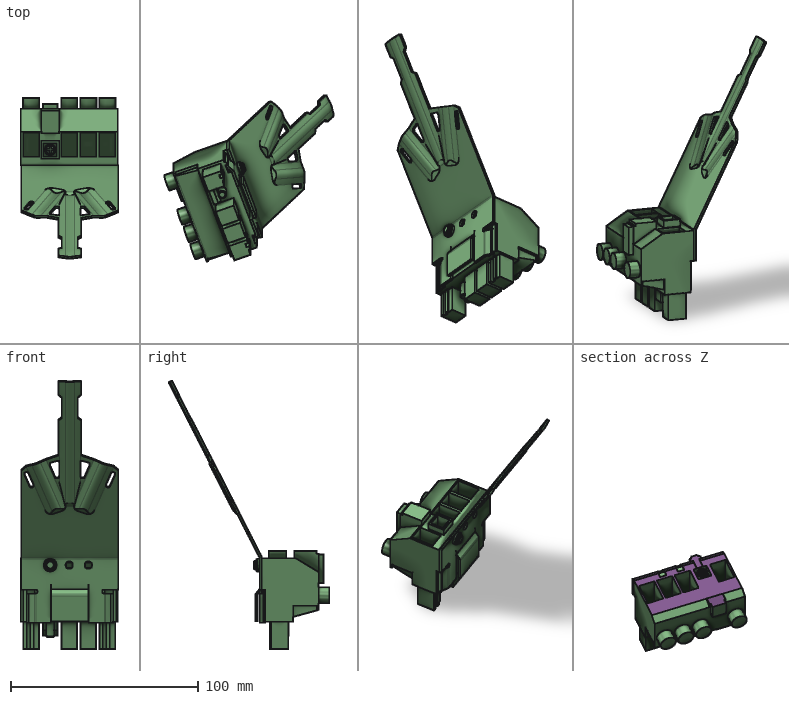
import cadquery as cq
import math


pole_pitch = 10.2
housing_center_x = -0.3
flange_x = housing_center_x - pole_pitch
contact_xs = [housing_center_x + step * pole_pitch for step in (-2, 0, 1, 2)]
open_hole_xs = contact_xs[1:3]

housing_width = 51.9
housing_bottom = 14.6
housing_top = 48.6
housing_rear = 30.3
foot_rear = 16.6
roof_edge_y = 17.9
roof_rear_z = 41.2
rear_lip_z = 21.1
wedge_rear = 29.3
wedge_top = 23.2
wedge_rear_z = 20.7
wedge_foot_z = 17.2
wedge_inset = 1.5

well_width = 8.6
well_front = 4.7
well_rear = 17.4
well_depth = 21.5

collar_size = 9.5
collar_top = 52.5
pocket_size = 7.2
pocket_floor = 40.2

plug_width = 8.5
plug_front = 4.0
plug_rear = 14.0
key_pitch = 1.9
key_groove_depth = 1.5
key_ledge_depth = 0.9

lug_width = 7.9
lug_bottom = 7.3
lug_rear = 14.3
lug_bevel_height = 2.9
lug_bevel_depth = 1.5

sheet = 1.3
plate_half_width = 26.0
plate_bottom = 14.0
hole_diameter = 4.0
hole_z = 44.9
nut_pocket_width = 3.5
nut_pocket_height = 2.7
nut_pocket_depth = 2.9
shoulder_z = 31.8
relief_height = 2.2
relief_end_x = 17.2

wing_start_x = 18.6
wing_flat_x = 22.0
wing_end_x = 23.1
wing_offset = 1.9
wing_bend_radius = 1.5
rest_foot_x = 24.8
rest_height = 1.3
rest_step = 0.6

tab_half_width = 10.0
tab_slit = 0.07
tab_root_z = 34.4
tab_bend_z = 32.1
tab_flat_z = 29.3
tab_bottom = 15.0
tab_offset = 2.3
tab_bend_radius = 1.7

panel_angle = 63.0
overall_height = 143.4
bend_z = 49.0
bend_radius = 1.5
panel_length = (overall_height - bend_z) / math.sin(math.radians(panel_angle))
panel_corner_v = 52.5
rim_outer_x = 23.2
rim_outer_v = 55.1
rim_inner_v = 61.5
neck_half_width = 6.2
waist_half_width = 4.3
waist_start_v = 82.5
waist_end_v = 98.0
waist_taper = 1.6
neck_corner = 0.5

middle_ridge_height = 0.7
middle_ridge_base = 5.6
middle_ridge_crest = 2.5
middle_ridge_narrowing = 14.3
middle_ridge_foot_v = 31.3
middle_ridge_end_run = 2.5
side_ridge_height = 1.1
side_ridge_base = 5.7
side_ridge_crest = 2.5
side_ridge_angle = 21.5
side_ridge_foot_x = 6.5
side_ridge_foot_v = 27.5
side_ridge_end_run = 2.9
side_ridge_length = 40.2
side_ridge_end_radius = 3.6

tie_slot_x = 21.8
tie_slot_v = 47.0
tie_slot_length = 9.8
tie_slot_width = 2.3
window_corners = [(-5.7, 48.0), (-7.7, 48.0), (-10.8, 55.8), (-10.3, 57.2), (-5.7, 58.7)]
window_rounding = 0.6

flange_screw_y = 8.3
flange_head_diameter = 5.9
flange_head_height = 3.6
flange_shank_diameter = 4.3
flange_shank_bottom = 6.5
shank_chamfer = 0.6
cross_length = 3.5
cross_width = 1.0
cross_depth = 1.5

plate_screw_flange_diameter = 6.9
plate_screw_flange_height = 1.7
plate_screw_flange_chamfer = 0.5
plate_screw_head_diameter = 4.9
plate_screw_head_height = 1.3
plate_screw_head_chamfer = 0.6
plate_screw_depth = 4.3

lever_width = 9.5
lever_front = 17.2
lever_top_rear = 29.1
lever_step = 1.5
lever_plate_width = 7.9
lever_plate_rear = 32.8
lever_plate_bottom = 35.3
lever_plate_top = 50.6

terminal_diameter = 8.7
terminal_z = 28.8
terminal_length = 5.7

slip = 1.5


def box(x, y, z):
    """Block between the (low, high) limits on each axis."""
    size = [high - low for low, high in (x, y, z)]
    return cq.Workplane("XY").box(*size, centered=False).translate((x[0], y[0], z[0]))


def around(center, width):
    """Limits of a width centred on a place."""
    return center - width / 2, center + width / 2


def side_prism(points, center_x, width):
    """Outline in (Y, Z) drawn out along X, centred on center_x."""
    start = cq.Workplane("YZ", origin=(center_x - width / 2, 0, 0))
    return start.polyline(points).close().extrude(width)


def plan_prism(points, bottom, top):
    """Outline in (X, Y) drawn up from bottom to top."""
    return cq.Workplane("XY", origin=(0, 0, bottom)).polyline(points).close().extrude(top - bottom)


def both_sides(body):
    """A body together with its mirror image across X = 0."""
    return body.union(body.mirror("YZ"))


def y_cylinder(x, z, diameter, front, rear):
    """Cylinder along Y from front to rear."""
    return cq.Workplane("XZ", origin=(x, rear, z)).circle(diameter / 2).extrude(rear - front)


def make_housing_shell():
    outline = [
        (0, housing_bottom),
        (0, housing_top),
        (roof_edge_y, housing_top),
        (housing_rear, roof_rear_z),
        (housing_rear, rear_lip_z),
        (wedge_rear, wedge_rear_z),
        (foot_rear, wedge_foot_z),
        (foot_rear, housing_bottom),
    ]
    shell = side_prism(outline, housing_center_x, housing_width)
    for side in (-1, 1):
        face_x = housing_center_x + side * housing_width / 2
        beside_wedge = box(
            around(face_x, 2 * wedge_inset), (foot_rear, wedge_rear), (wedge_foot_z - slip, wedge_top)
        )
        shell = shell.cut(beside_wedge)
    return shell


def make_wing_notch():
    """Corner recess for a plate wing, with a bevelled rest left beside the wing's end."""
    outline = [
        (-wing_start_x, -slip),
        (-wing_start_x, wing_offset),
        (-wing_end_x, wing_offset),
        (-wing_end_x, wing_offset - rest_height),
        (-rest_foot_x, wing_offset - rest_step),
        (-rest_foot_x, wing_offset),
        (-housing_width, wing_offset),
        (-housing_width, -slip),
    ]
    return both_sides(plan_prism(outline, housing_bottom - slip, shoulder_z))


def make_plug(x):
    return box(around(x, plug_width), (plug_front, plug_rear), (0, housing_bottom))


def cut_keys(housing, x):
    """Coding groove and ledge down the front of a plug block."""
    left = x - plug_width / 2
    heights = (-slip, housing_bottom)
    groove = box(
        (left + key_pitch, left + 2 * key_pitch), (plug_front - slip, plug_front + key_groove_depth), heights
    )
    ledge = box(
        (left + 3 * key_pitch, left + plug_width), (plug_front - slip, plug_front + key_ledge_depth), heights
    )
    return housing.cut(groove).cut(ledge)


def make_flange_lug():
    front = flange_screw_y + flange_shank_diameter / 2
    outline = [
        (front, housing_bottom),
        (lug_rear, housing_bottom),
        (lug_rear, lug_bottom),
        (front + lug_bevel_depth, lug_bottom),
        (front, lug_bottom + lug_bevel_height),
    ]
    return side_prism(outline, flange_x, lug_width)


def make_housing():
    housing = make_housing_shell().cut(make_wing_notch())
    for x in contact_xs:
        housing = housing.union(make_plug(x))
        well_heights = (housing_top - well_depth, housing_top + slip)
        well = box(around(x, well_width), (well_front, well_rear), well_heights)
        housing = housing.cut(well)
    for x in (contact_xs[0], contact_xs[-1]):
        housing = cut_keys(housing, x)
    for x in open_hole_xs:
        nut_pocket = box(
            around(x, nut_pocket_width), (-slip, nut_pocket_depth), around(hole_z, nut_pocket_height)
        )
        housing = housing.cut(nut_pocket)
    housing = housing.union(make_flange_lug())
    collar = box(
        around(flange_x, collar_size), around(flange_screw_y, collar_size), (housing_top - slip, collar_top)
    )
    pocket = box(
        around(flange_x, pocket_size), around(flange_screw_y, pocket_size), (pocket_floor, collar_top + slip)
    )
    housing = housing.union(collar).cut(pocket)
    return housing.cut(make_flange_shank()).cut(make_plate_screw())


def make_lower_plate():
    plate = box((-plate_half_width, plate_half_width), (-sheet, 0), (shoulder_z, bend_z))
    relief_z = shoulder_z - relief_height / 2
    center_half_width = relief_end_x + relief_height / 2
    center = box((-center_half_width, center_half_width), (-sheet, 0), (plate_bottom, shoulder_z))
    relief_end = y_cylinder(center_half_width, relief_z, relief_height, -sheet, 0)
    plate = plate.union(center).cut(both_sides(relief_end))
    window = box((-tab_half_width, tab_half_width), (-sheet, 0), (plate_bottom, tab_root_z))
    plate = plate.cut(window)
    for x in [flange_x] + open_hole_xs:
        plate = plate.cut(y_cylinder(x, hole_z, hole_diameter, -sheet, 0))
    return plate


def make_wings():
    """Lower corners of the plate, jogged back into the housing notches."""
    outline = [
        (-relief_end_x, -sheet),
        (-wing_start_x, -sheet),
        (-wing_flat_x, wing_offset - sheet),
        (-wing_end_x, wing_offset - sheet),
        (-wing_end_x, wing_offset),
        (-wing_flat_x, wing_offset),
        (-wing_start_x, 0),
        (-relief_end_x, 0),
    ]
    wing = plan_prism(outline, plate_bottom, shoulder_z - relief_height)
    bend_edge = cq.NearestToPointSelector((-wing_start_x, -sheet, (plate_bottom + shoulder_z) / 2))
    return both_sides(wing.edges("|Z").edges(bend_edge).fillet(wing_bend_radius))


def make_tab():
    """Spring tab lanced from the plate and jogged forward."""
    front = -tab_offset - sheet
    outline = [
        (0, tab_root_z),
        (-sheet, tab_root_z),
        (-sheet, tab_bend_z),
        (front, tab_flat_z),
        (front, tab_bottom),
        (-tab_offset, tab_bottom),
        (-tab_offset, tab_flat_z),
        (0, tab_bend_z),
    ]
    tab = side_prism(outline, 0, 2 * (tab_half_width - tab_slit))
    bend_edge = cq.NearestToPointSelector((0, front, tab_flat_z))
    return tab.edges("|X").edges(bend_edge).fillet(tab_bend_radius)


def panel_plane(offset=0.0):
    """Plane of the sloping panel's rear face: X across, V up the slope, normal to the front."""
    angle = math.radians(panel_angle)
    normal = (0, -math.sin(angle), -math.cos(angle))
    origin = (0, offset * normal[1], bend_z + offset * normal[2])
    return cq.Plane(origin=origin, xDir=(1, 0, 0), normal=normal)


def make_ridge(base, crest, height, length, end_run):
    """Round-topped ridge running along V from V = 0, with a sloping lower end."""
    flank_slope = height / (base - crest)
    crest_rise = crest * flank_slope / 2
    shoulder = height - crest_rise
    across = (
        cq.Workplane("XZ")
        .moveTo(-base, 0)
        .lineTo(-crest, shoulder)
        .threePointArc((0, height), (crest, shoulder))
        .lineTo(base, 0)
        .close()
        .extrude(-length)
    )
    along = [(0, 0), (end_run, height), (length, height), (length, 0)]
    return across.intersect(side_prism(along, 0, 2 * base))


def place_on_panel(body, offset):
    """Move a body built in (X, V, normal) coordinates onto the panel."""
    return cq.Workplane(body.val().moved(panel_plane(offset).location))


def make_ridges(offset):
    middle_length = panel_length - middle_ridge_foot_v + slip
    middle = make_ridge(
        middle_ridge_base, middle_ridge_crest, middle_ridge_height, middle_length, middle_ridge_end_run
    )
    narrowing = [
        (-middle_ridge_crest, 0),
        (-middle_ridge_base, middle_ridge_narrowing),
        (-middle_ridge_base, panel_length),
        (middle_ridge_base, panel_length),
        (middle_ridge_base, middle_ridge_narrowing),
        (middle_ridge_crest, 0),
    ]
    middle = middle.intersect(plan_prism(narrowing, 0, middle_ridge_height))
    middle = middle.translate((0, middle_ridge_foot_v, 0))
    side = make_ridge(
        side_ridge_base, side_ridge_crest, side_ridge_height, side_ridge_length, side_ridge_end_run
    )
    rounding = box((-side_ridge_base, side_ridge_base), (0, side_ridge_length), (0, side_ridge_height))
    side = side.intersect(rounding.edges("|Z and <Y").fillet(side_ridge_end_radius))
    side = side.rotate((0, 0, 0), (0, 0, 1), side_ridge_angle)
    side = side.translate((-side_ridge_foot_x, side_ridge_foot_v, 0))
    return place_on_panel(middle.union(both_sides(side)), offset)


def make_panel_outline():
    """Thick blank with the outline, windows and tie slots of the panel."""
    half = [
        (plate_half_width, 0),
        (plate_half_width, panel_corner_v),
        (rim_outer_x, rim_outer_v),
        (neck_half_width, rim_inner_v),
        (neck_half_width, waist_start_v),
        (waist_half_width, waist_start_v + waist_taper),
        (waist_half_width, waist_end_v - waist_taper),
        (neck_half_width, waist_end_v),
        (neck_half_width, panel_length - neck_corner),
        (neck_half_width - neck_corner, panel_length),
    ]
    outline = half + [(-x, v) for x, v in reversed(half)]
    depth = 4 * sheet
    blank = cq.Workplane("XY").polyline(outline).close().extrude(depth)
    window = cq.Workplane("XY").polyline(window_corners).close().extrude(depth)
    window = window.edges("|Z").fillet(window_rounding)
    slot = cq.Workplane("XY").slot2D(tie_slot_length, tie_slot_width, 90 + side_ridge_angle).extrude(depth)
    slot = slot.translate((-tie_slot_x, tie_slot_v, 0))
    blank = blank.cut(both_sides(window)).cut(both_sides(slot))
    return place_on_panel(blank, 0)


def make_panel():
    """Sloping panel: a sheet with three ridges pressed towards the front."""
    width = 2 * plate_half_width
    flat = cq.Workplane("XY").rect(width, 2 * panel_length).extrude(sheet)
    panel = place_on_panel(flat, 0).union(make_ridges(sheet)).cut(make_ridges(0))
    return panel.intersect(make_panel_outline())


def make_plate():
    plate = make_lower_plate().union(make_panel())
    front_bend = cq.NearestToPointSelector((0, -sheet, bend_z))
    plate = plate.edges("|X").edges(front_bend).fillet(bend_radius)
    return plate.union(make_wings()).union(make_tab())


def make_flange_shank():
    shank = cq.Workplane("XY", origin=(flange_x, flange_screw_y, flange_shank_bottom))
    shank = shank.circle(flange_shank_diameter / 2).extrude(pocket_floor - flange_shank_bottom)
    return shank.faces("<Z").chamfer(shank_chamfer)


def make_flange_screw():
    head_top = pocket_floor + flange_head_height
    head = cq.Workplane("XY", origin=(flange_x, flange_screw_y, pocket_floor))
    head = head.circle(flange_head_diameter / 2).extrude(flange_head_height)
    head = head.faces(">Z").chamfer(shank_chamfer)
    cross = cq.Workplane("XY", origin=(flange_x, flange_screw_y, head_top - cross_depth))
    bar = cross.rect(cross_length, cross_width).extrude(cross_depth)
    bar = bar.union(cross.rect(cross_width, cross_length).extrude(cross_depth))
    return make_flange_shank().union(head).cut(bar)


def make_plate_screw():
    flange_front = -sheet - plate_screw_flange_height
    head_front = flange_front - plate_screw_head_height
    shank = y_cylinder(flange_x, hole_z, hole_diameter, -sheet, plate_screw_depth)
    flange = y_cylinder(flange_x, hole_z, plate_screw_flange_diameter, flange_front, -sheet)
    flange = flange.faces("<Y").chamfer(plate_screw_flange_chamfer)
    head = y_cylinder(flange_x, hole_z, plate_screw_head_diameter, head_front, flange_front)
    head = head.faces("<Y").chamfer(plate_screw_head_chamfer)
    return shank.union(flange).union(head)


def make_lever():
    """Block resting on the housing roof, with a narrower plate down the housing rear."""
    outline = [
        (lever_front, housing_top),
        (lever_front, collar_top),
        (lever_top_rear, collar_top),
        (lever_top_rear, collar_top - lever_step),
        (housing_rear, collar_top - lever_step),
        (housing_rear, roof_rear_z),
        (roof_edge_y, housing_top),
    ]
    block = side_prism(outline, flange_x, lever_width)
    rear_plate = box(
        around(flange_x, lever_plate_width),
        (housing_rear, lever_plate_rear),
        (lever_plate_bottom, lever_plate_top),
    )
    return block.union(rear_plate)


def make_terminal(x):
    """Round plug standing on the housing rear behind a contact."""
    return y_cylinder(x, terminal_z, terminal_diameter, housing_rear, housing_rear + terminal_length)


housing = make_housing()
plate = make_plate()
flange_screw = make_flange_screw()
plate_screw = make_plate_screw()
lever = make_lever()
terminals = [make_terminal(x).val() for x in contact_xs]

result = cq.Compound.makeCompound(
    [housing.val(), plate.val(), flange_screw.val(), plate_screw.val(), lever.val(), *terminals]
)